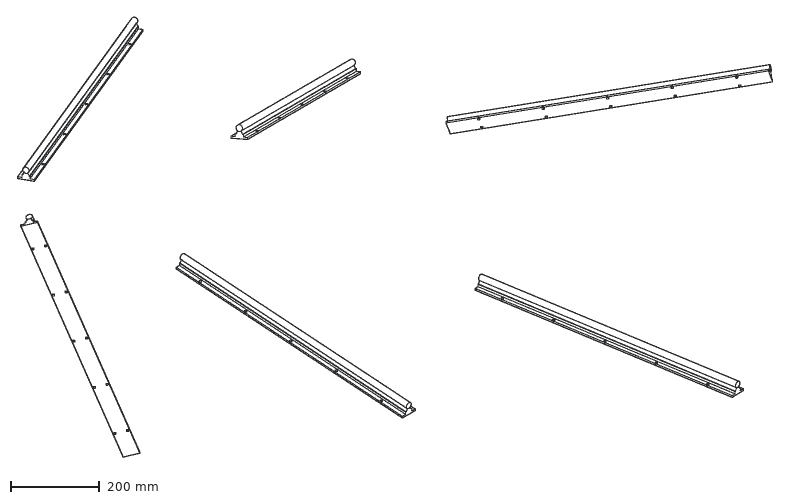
import cadquery as cq
import math

LENGTH = 750.0
BASE_WIDTH = 40.0
OVERALL_HEIGHT = 33.0
BASE_THICKNESS = 5.0

SHAFT_DIAMETER = 16.0
SHAFT_RADIUS = SHAFT_DIAMETER / 2
SHAFT_CENTER_Z = OVERALL_HEIGHT - SHAFT_RADIUS

PEDESTAL_WIDTH = 19.5
SHOULDER_LEDGE = 1.5
SHOULDER_Z = 11.0
SADDLE_HALF_ANGLE = 32.0
SADDLE_HALF_WIDTH = SHAFT_RADIUS * math.sin(math.radians(SADDLE_HALF_ANGLE))
SADDLE_EDGE_Z = SHAFT_CENTER_Z - SHAFT_RADIUS * math.cos(math.radians(SADDLE_HALF_ANGLE))

HOLE_DIAMETER = 5.5
HOLE_ROW_SPACING = 30.0
HOLE_PITCH = 150.0
HOLES_PER_ROW = 5


def extrude_along_length(profile):
    """Extrude an XZ profile over the full length, centred on Y = 0."""
    return profile.extrude(LENGTH).translate((0, LENGTH / 2, 0))


def make_shaft():
    profile = cq.Workplane("XZ").center(0, SHAFT_CENTER_Z).circle(SHAFT_RADIUS)
    return extrude_along_length(profile)


def make_support_rail():
    """Flanged base and stepped, tapered pedestal with a round saddle along its top."""
    half_base = BASE_WIDTH / 2
    half_pedestal = PEDESTAL_WIDTH / 2
    half_taper = half_pedestal - SHOULDER_LEDGE
    profile = (
        cq.Workplane("XZ")
        .moveTo(-half_base, 0)
        .lineTo(half_base, 0)
        .lineTo(half_base, BASE_THICKNESS)
        .lineTo(half_pedestal, BASE_THICKNESS)
        .lineTo(half_pedestal, SHOULDER_Z)
        .lineTo(half_taper, SHOULDER_Z)
        .lineTo(SADDLE_HALF_WIDTH, SADDLE_EDGE_Z)
        .threePointArc((0, SHAFT_CENTER_Z - SHAFT_RADIUS), (-SADDLE_HALF_WIDTH, SADDLE_EDGE_Z))
        .lineTo(-half_taper, SHOULDER_Z)
        .lineTo(-half_pedestal, SHOULDER_Z)
        .lineTo(-half_pedestal, BASE_THICKNESS)
        .lineTo(-half_base, BASE_THICKNESS)
        .close()
    )
    mounting_holes = (
        cq.Workplane("XY")
        .rarray(HOLE_ROW_SPACING, HOLE_PITCH, 2, HOLES_PER_ROW)
        .circle(HOLE_DIAMETER / 2)
        .extrude(BASE_THICKNESS)
    )
    return extrude_along_length(profile).cut(mounting_holes)


shaft = make_shaft()
support_rail = make_support_rail()

result = cq.Compound.makeCompound([support_rail.val(), shaft.val()])